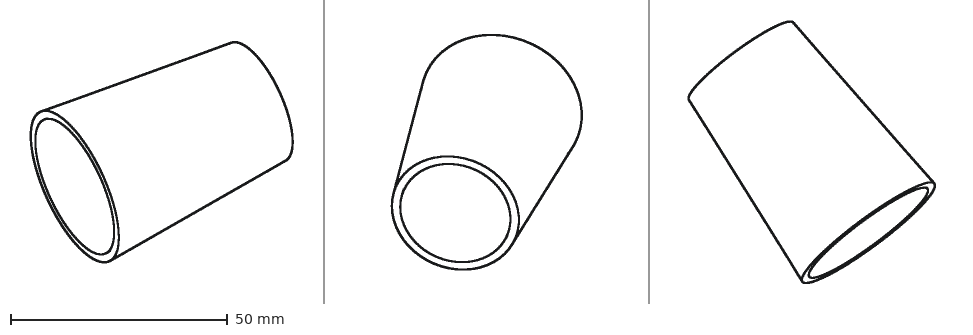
import cadquery as cq

length = 50.0
wall = 2.0
front_outer_diameter = 38.0
rear_outer_diameter = 30.0


def tapered_body(front_diameter, rear_diameter):
    """Solid truncated cone from Y = 0 (front) to Y = length (rear)."""
    profile = (
        cq.Workplane("XY")
        .moveTo(0, 0)
        .lineTo(front_diameter / 2, 0)
        .lineTo(rear_diameter / 2, length)
        .lineTo(0, length)
        .close()
    )
    return profile.revolve(360, (0, 0, 0), (0, 1, 0))


outer = tapered_body(front_outer_diameter, rear_outer_diameter)
bore = tapered_body(front_outer_diameter - 2 * wall, rear_outer_diameter - 2 * wall)

result = outer.cut(bore)